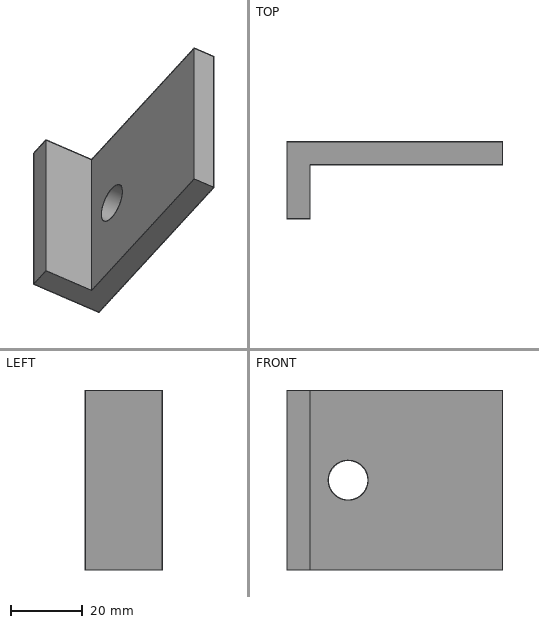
import cadquery as cq

length = 60.0
depth = 21.5
height = 50.0
thickness = 6.5

hole_diameter = 11.0
hole_from_corner = 17.05


def long_plate():
    """Upright plate along X, with its back face at the full depth."""
    return cq.Workplane("XY").box(length, thickness, height, centered=False).translate(
        (0, depth - thickness, 0)
    )


def short_flange():
    """Upright flange along Y, reaching forward from the corner."""
    return cq.Workplane("XY").box(thickness, depth, height, centered=False)


def plate_hole():
    """Cylinder along Y at mid height, passing through the long plate only."""
    return (
        cq.Workplane("XZ", origin=(hole_from_corner, depth, height / 2))
        .circle(hole_diameter / 2)
        .extrude(thickness)
    )


result = long_plate().union(short_flange()).cut(plate_hole())